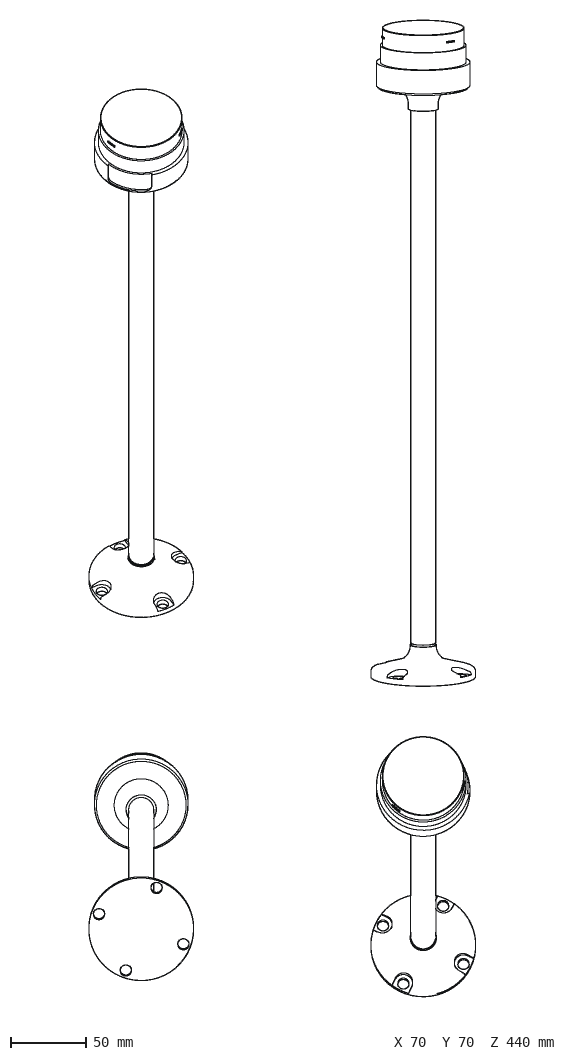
import cadquery as cq
import math

TOTAL_HEIGHT = 440.0
RIM_TOP = 6.0
CONE_TOP = 10.5
FOOT_TOP = 23.0
COLLAR_BOTTOM = 385.0
COLLAR_TOP = 387.0
HEAD_BOTTOM = 399.5
HOUSING_TOP = 416.8
RING_TOP = 428.0

BASE_DIAMETER = 70.0
BASE_RADIUS = BASE_DIAMETER / 2
RIM_SHOULDER_RADIUS = 32.5
CONE_TOP_RADIUS = 17.0
TUBE_RADIUS = 8.5
NECK_RADIUS = 9.0
COLLAR_RADIUS = 10.0
FLARE_RADIUS = 18.0
HOUSING_RADIUS = 31.2
RING_RADIUS = 28.5
CAP_RADIUS = 27.5

FLARE_HOLLOW = 0.31

FOOT_GROOVE_HEIGHT = 1.5
FOOT_GROOVE_RADIUS = 8.0
HOUSING_EDGE = 1.5
CAP_EDGE = 0.5

SCREW_COUNT = 4
SCREW_CIRCLE_RADIUS = 30.0
SCREW_HOLE_DIAMETER = 7.5
SEAT_WIDTH = 12.5
SEAT_FLOOR = 4.0

PANEL_WIDTH = 30.5
PANEL_DEPTH = 1.5
PANEL_BOTTOM = 402.2
PANEL_TOP = HOUSING_TOP
PANEL_CORNER = 3.0

LUG_COUNT = 3
LUG_LENGTH = 6.5
LUG_HEIGHT = 1.0
LUG_PROJECTION = 0.65
LUG_CENTRE_HEIGHT = 434.5


def arc_middle(start, end):
    """Middle point of a hollow arc between a narrow and a wide end."""
    narrow, wide = sorted((start, end))
    return (
        narrow[0] + FLARE_HOLLOW * (wide[0] - narrow[0]),
        wide[1] + FLARE_HOLLOW * (narrow[1] - wide[1]),
    )


def turned_body():
    """Foot, tube, neck and head as one turned profile."""
    foot_flare_start = (CONE_TOP_RADIUS, CONE_TOP)
    foot_flare_end = (NECK_RADIUS, FOOT_TOP - FOOT_GROOVE_HEIGHT)
    neck_start = (COLLAR_RADIUS, COLLAR_TOP)
    neck_end = (FLARE_RADIUS, HEAD_BOTTOM)
    rim_corner = BASE_RADIUS - RIM_SHOULDER_RADIUS
    rim_arc_middle = (
        RIM_SHOULDER_RADIUS + rim_corner * math.sqrt(0.5),
        RIM_TOP - rim_corner * (1 - math.sqrt(0.5)),
    )
    profile = (
        cq.Workplane("XZ")
        .lineTo(BASE_RADIUS, 0)
        .lineTo(BASE_RADIUS, RIM_TOP - rim_corner)
        .threePointArc(rim_arc_middle, (RIM_SHOULDER_RADIUS, RIM_TOP))
        .lineTo(*foot_flare_start)
        .threePointArc(arc_middle(foot_flare_start, foot_flare_end), foot_flare_end)
        .lineTo(FOOT_GROOVE_RADIUS, FOOT_TOP - FOOT_GROOVE_HEIGHT)
        .lineTo(FOOT_GROOVE_RADIUS, FOOT_TOP)
        .lineTo(TUBE_RADIUS, FOOT_TOP)
        .lineTo(TUBE_RADIUS, COLLAR_BOTTOM)
        .lineTo(COLLAR_RADIUS, COLLAR_BOTTOM)
        .lineTo(*neck_start)
        .threePointArc(arc_middle(neck_start, neck_end), neck_end)
        .lineTo(HOUSING_RADIUS - HOUSING_EDGE, HEAD_BOTTOM)
        .lineTo(HOUSING_RADIUS, HEAD_BOTTOM + HOUSING_EDGE)
        .lineTo(HOUSING_RADIUS, HOUSING_TOP)
        .lineTo(RING_RADIUS, HOUSING_TOP)
        .lineTo(RING_RADIUS, RING_TOP)
        .lineTo(CAP_RADIUS, RING_TOP)
        .lineTo(CAP_RADIUS, TOTAL_HEIGHT - CAP_EDGE)
        .lineTo(CAP_RADIUS - CAP_EDGE, TOTAL_HEIGHT)
        .lineTo(0, TOTAL_HEIGHT)
        .close()
    )
    return profile.revolve(360, (0, 0, 0), (0, 1, 0))


def screw_seat():
    """Through hole with a round-ended seat that runs out through the rim."""
    seat = cq.Workplane("XY", origin=(SCREW_CIRCLE_RADIUS, 0, SEAT_FLOOR))
    round_end = seat.circle(SEAT_WIDTH / 2).extrude(CONE_TOP)
    run_out = seat.rect(BASE_RADIUS, SEAT_WIDTH).extrude(CONE_TOP)
    run_out = run_out.translate((BASE_RADIUS / 2, 0, 0))
    hole = (
        cq.Workplane("XY", origin=(SCREW_CIRCLE_RADIUS, 0, 0))
        .circle(SCREW_HOLE_DIAMETER / 2)
        .extrude(CONE_TOP)
    )
    return round_end.union(run_out).union(hole)


def front_panel():
    """Curved layer removed from the -Y side of the housing."""
    height = PANEL_TOP - PANEL_BOTTOM
    window = (
        cq.Workplane("XZ", origin=(0, 0, PANEL_BOTTOM + height / 2))
        .rect(PANEL_WIDTH, height)
        .extrude(BASE_RADIUS)
        .edges("|Y and <Z")
        .fillet(PANEL_CORNER)
    )
    core = (
        cq.Workplane("XY", origin=(0, 0, PANEL_BOTTOM))
        .circle(HOUSING_RADIUS - PANEL_DEPTH)
        .extrude(height)
    )
    return window.cut(core)


def cap_lug():
    """Small bar standing out from the side of the cap."""
    outer_radius = CAP_RADIUS + LUG_PROJECTION
    ring = (
        cq.Workplane("XY", origin=(0, 0, LUG_CENTRE_HEIGHT - LUG_HEIGHT / 2))
        .circle(outer_radius)
        .circle(CAP_RADIUS - LUG_PROJECTION)
        .extrude(LUG_HEIGHT)
    )
    sector = (
        cq.Workplane("XY", origin=(CAP_RADIUS, 0, LUG_CENTRE_HEIGHT))
        .box(CAP_RADIUS, LUG_LENGTH, 2 * LUG_HEIGHT)
    )
    return ring.intersect(sector)


result = turned_body().cut(front_panel())

for index in range(SCREW_COUNT):
    angle = (index + 0.5) * 360 / SCREW_COUNT
    result = result.cut(screw_seat().rotate((0, 0, 0), (0, 0, 1), angle))

for index in range(LUG_COUNT):
    angle = index * 360 / LUG_COUNT
    result = result.union(cap_lug().rotate((0, 0, 0), (0, 0, 1), angle))